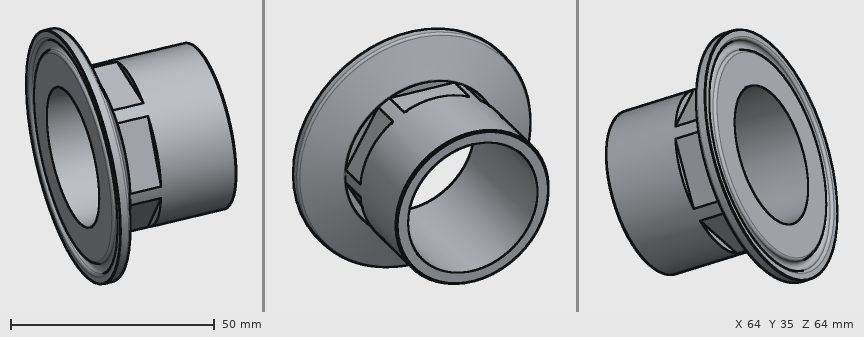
import cadquery as cq
import math

length = 35.0
bore_radius = 17.7
body_radius = 21.0
body_end_chamfer = 0.4

flange_radius = 32.0
cone_angle = math.radians(20)
neck_height = 6.7
neck_fillet = 0.3
rim_fillet = 0.8
face_edge_chamfer = 0.1

hex_start = 7.0
hex_end = 15.05
hex_across_flats = 38.0

groove_radius = 28.2
groove_half_width = 2.0
groove_depth = 1.8
lip_width = 0.8


def make_flanged_body():
    """Revolved body with a conical flange, before cutting."""
    rim_height = neck_height - (flange_radius - body_radius) * math.tan(cone_angle)
    profile = (
        cq.Workplane("XY")
        .lineTo(flange_radius - face_edge_chamfer, 0)
        .lineTo(flange_radius, face_edge_chamfer)
        .lineTo(flange_radius, rim_height)
        .lineTo(body_radius, neck_height)
        .lineTo(body_radius, length - body_end_chamfer)
        .lineTo(body_radius - body_end_chamfer, length)
        .lineTo(0, length)
        .close()
    )
    body = profile.revolve(360, (0, 0, 0), (0, 1, 0))
    reach = 2 * flange_radius
    slab_half = 0.05
    for height, radius in ((rim_height, rim_fillet), (neck_height, neck_fillet)):
        slab = cq.selectors.BoxSelector(
            (-reach, height - slab_half, -reach), (reach, height + slab_half, reach), boundingbox=True
        )
        body = body.edges(slab).fillet(radius)
    return body


def make_groove():
    """Ring removed from the sealing face."""
    wall_angle = 2 * math.atan(groove_depth / groove_half_width)
    lip_radius = lip_width / math.sin(wall_angle)
    lip_depth = lip_radius * (1 - math.cos(wall_angle))
    inner = groove_radius - groove_half_width
    outer = groove_radius + groove_half_width
    lip_mid_x = lip_radius * math.sin(wall_angle / 2)
    lip_mid_y = lip_radius * (1 - math.cos(wall_angle / 2))
    return (
        cq.Workplane("XY")
        .moveTo(inner, 0)
        .threePointArc((inner + lip_mid_x, lip_mid_y), (inner + lip_width, lip_depth))
        .threePointArc((groove_radius, groove_depth), (outer - lip_width, lip_depth))
        .threePointArc((outer - lip_mid_x, lip_mid_y), (outer, 0))
        .close()
        .revolve(360, (0, 0, 0), (0, 1, 0))
    )


def make_wrench_flat_cutter():
    """Ring with a hexagonal hole, leaving six flats with two facing +Z and -Z."""
    hex_diameter = hex_across_flats / math.cos(math.pi / 6)
    return (
        cq.Workplane("XZ", origin=(0, hex_start, 0))
        .circle(flange_radius)
        .polygon(6, hex_diameter)
        .extrude(-(hex_end - hex_start))
    )


bore = cq.Workplane("XZ").circle(bore_radius).extrude(-length)

result = make_flanged_body().cut(make_groove()).cut(make_wrench_flat_cutter()).cut(bore)